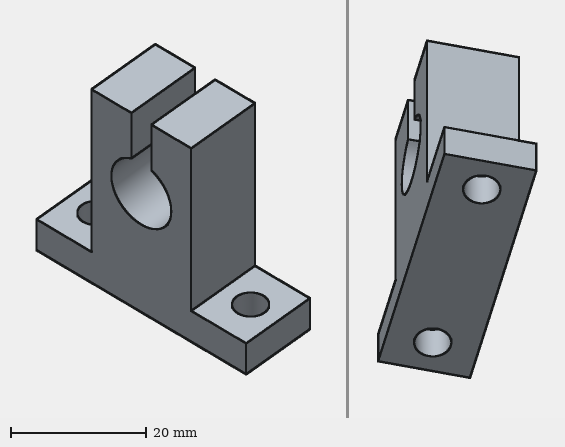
import cadquery as cq

base_length = 42.0
depth = 14.0
base_height = 6.0

total_height = 37.5
column_width = 20.0

bore_diameter = 12.0
bore_center_height = 23.0
slot_width = 4.0

mount_hole_diameter = 5.5
mount_hole_spacing = 31.0


def block(width, bottom, top):
    """Full-depth block centred on X and Y, between two heights."""
    return (
        cq.Workplane("XY")
        .workplane(offset=bottom)
        .rect(width, depth)
        .extrude(top - bottom)
    )


def shaft_bore():
    """Cylinder along Y through the column."""
    return (
        cq.Workplane("XZ")
        .center(0, bore_center_height)
        .circle(bore_diameter / 2)
        .extrude(depth / 2, both=True)
    )


def mounting_holes():
    """Pair of vertical cylinders through the flange."""
    half_spacing = mount_hole_spacing / 2
    return (
        cq.Workplane("XY")
        .pushPoints([(-half_spacing, 0), (half_spacing, 0)])
        .circle(mount_hole_diameter / 2)
        .extrude(base_height)
    )


body = block(base_length, 0, base_height).union(block(column_width, 0, total_height))
clamp_slot = block(slot_width, bore_center_height, total_height)

result = body.cut(shaft_bore()).cut(clamp_slot).cut(mounting_holes())